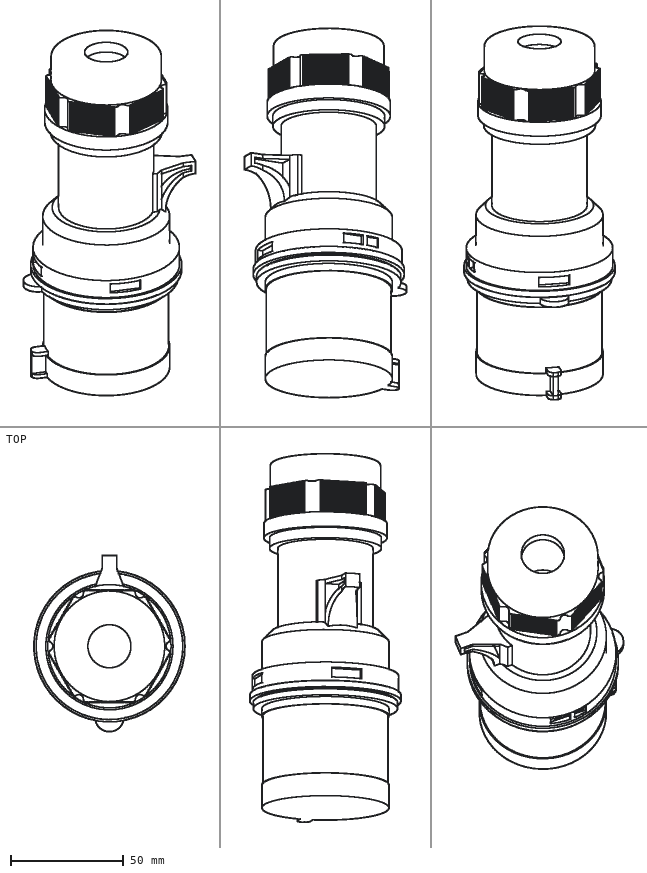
import cadquery as cq
import math

band_top = 10.4
shoulder_bottom = 41.8
disc_bottom = 45.1
disc_top = 48.0
housing_bottom = 48.5
ring_bottom = 51.4
ring_top = 59.9
body_top = 75.5
cone_top = 80.0
flange_bottom = 118.0
nut_bottom = 122.7
hex_bottom = 129.3
hex_top = 143.8
seal_top = 152.8
cap_edge = 156.4
total_height = 157.6

insert_radius = 55.8 / 2
band_radius = 56.8 / 2
disc_radius = 64.5 / 2
disc_neck_radius = 62.9 / 2
tab_reach = 38.2
tab_radius = 6.5
tab_top = 47.8

key_width = 6.0
key_reach = 34.8
key_height = 13.0
key_flange = 1.9
key_web_width = 2.2
key_web_setback = 0.2

rim_radius = 67.5 / 2
ring_radius = 65.5 / 2
body_radius = 56.8 / 2
cone_top_radius = 24.1
root_fillet = 1.4
neck_radius = 42.5 / 2
thread_end_radius = 50.0 / 2

window_height = 4.4
window_depth = 3.2
side_window_depth = 1.9
window_width = 14.0
window_z = 55.3
side_window_z = 56.0
wide_pane = 9.1
narrow_pane = 6.0
wide_pane_y = 4.0
narrow_pane_y = -5.7

latch_top = 99.0
latch_reach = 40.5
latch_base_half_width = 10.2
latch_base_y = 20.8
latch_root_half_width = 7.5
latch_root_y = 23.5
latch_tip_half_width = 3.3
latch_taper_end_y = 34.7
latch_arc_radius = 14.8
latch_arc_z = 78.0
latch_frame = 1.9
latch_rib = 1.5
latch_web_width = 2.2

nut_radius = 55.0 / 2
cap_radius = 49.3 / 2
cap_fillet = 1.1
cap_rim_radius = 11.8
cable_bore_radius = 19.2 / 2
grip_radius = 27.1
grip_flat = 25.2
grip_half_width = 10.2
grip_teeth = 30
tooth_depth = 0.5
grip_sides = 6
flute_radius = 2.0
flute_place = 27.3
flute_edge_fillet = 1.4

seal_radius = 15.8


def disc(radius, bottom, top):
    """Cylinder on the plug axis."""
    return cq.Workplane("XY").workplane(offset=bottom).circle(radius).extrude(top - bottom)


def block(x_size, y_size, z_size, center):
    return cq.Workplane("XY").box(x_size, y_size, z_size).translate(center)


def make_tab():
    """Round finger tab on the -Y side of the tab disc."""
    center_y = -(tab_reach - tab_radius)
    return disc(tab_radius, disc_bottom, tab_top).translate((0, center_y, 0))


def key_profile(width, reach, rounded):
    """Plan of the key from the plug axis outwards, with a round or a square end."""
    half = width / 2
    if not rounded:
        return cq.Workplane("XY").center(0, -reach / 2).rect(width, reach)
    straight_end = -(reach - half)
    return (
        cq.Workplane("XY")
        .moveTo(-half, 0)
        .lineTo(-half, straight_end)
        .threePointArc((0, -reach), (half, straight_end))
        .lineTo(half, 0)
        .close()
    )


def make_key():
    lower = key_profile(key_width, key_reach, True).extrude(key_flange)
    upper = lower.translate((0, 0, key_height - key_flange))
    web = key_profile(key_web_width, key_reach - key_web_setback, False).extrude(key_height)
    return lower.union(upper).union(web)


def make_insert():
    return (
        disc(insert_radius, 0, housing_bottom)
        .union(disc(band_radius, 0, band_top))
        .union(disc(band_radius, shoulder_bottom, disc_bottom))
        .union(disc(disc_radius, disc_bottom, disc_top))
        .union(disc(disc_neck_radius, disc_top, housing_bottom))
        .union(make_tab())
        .union(make_key())
    )


def make_shell():
    """Turned shape of the housing, solid on its axis."""
    root_radius = body_radius + root_fillet
    sagitta = root_fillet * (1 - math.sqrt(0.5))
    return (
        cq.Workplane("XZ")
        .moveTo(0, housing_bottom)
        .lineTo(rim_radius, housing_bottom)
        .lineTo(rim_radius, ring_bottom)
        .lineTo(ring_radius, ring_bottom)
        .lineTo(ring_radius, ring_top)
        .lineTo(root_radius, ring_top)
        .threePointArc(
            (body_radius + sagitta, ring_top + sagitta),
            (body_radius, ring_top + root_fillet),
        )
        .lineTo(body_radius, body_top)
        .lineTo(cone_top_radius, cone_top)
        .lineTo(neck_radius, cone_top)
        .lineTo(neck_radius, flange_bottom)
        .lineTo(thread_end_radius, flange_bottom)
        .lineTo(thread_end_radius, nut_bottom)
        .lineTo(0, nut_bottom)
        .close()
        .revolve(360, (0, 0, 0), (0, 1, 0))
    )


def make_windows():
    """Flat-bottomed recesses: one each on +X, -Y and +Y, and a pair on -X."""
    depth = 2 * window_depth
    side_depth = 2 * side_window_depth
    windows = block(side_depth, window_width, window_height, (ring_radius, 0, side_window_z))
    for side in (-1, 1):
        place = (0, side * ring_radius, window_z)
        windows = windows.union(block(window_width, depth, window_height, place))
    for width, y in ((wide_pane, wide_pane_y), (narrow_pane, narrow_pane_y)):
        place = (-ring_radius, y, side_window_z)
        windows = windows.union(block(side_depth, width, window_height, place))
    return windows


def latch_hollow(radius, center_y):
    """Round bar along X that hollows out the underside of the latch."""
    bar = cq.Workplane("YZ").center(center_y, latch_arc_z).circle(radius)
    return bar.extrude(latch_base_half_width, both=True)


def make_latch_pocket(side):
    """Recess in one side of the latch, leaving a frame and the web in the middle."""
    tip_y = latch_reach - latch_frame
    y_size = tip_y - latch_root_y
    z_size = latch_top - latch_frame - body_top
    inner_x = latch_web_width / 2
    x_size = latch_base_half_width - inner_x
    center = (side * (inner_x + x_size / 2), latch_root_y + y_size / 2, body_top + z_size / 2)
    return block(x_size, y_size, z_size, center).cut(latch_hollow(latch_arc_radius + latch_rib, tip_y))


def make_latch():
    """Lever that stands out from the neck on +Y and tapers to its tip."""
    right_side = [
        (latch_base_half_width, 0),
        (latch_base_half_width, latch_base_y),
        (latch_root_half_width, latch_root_y),
        (latch_tip_half_width, latch_taper_end_y),
        (latch_tip_half_width, latch_reach),
    ]
    left_side = [(-x, y) for x, y in reversed(right_side)]
    plan = cq.Workplane("XY").workplane(offset=body_top).polyline(right_side + left_side).close()
    latch = plan.extrude(latch_top - body_top).cut(latch_hollow(latch_arc_radius, latch_reach))
    for side in (-1, 1):
        latch = latch.cut(make_latch_pocket(side))
    return latch


def make_housing():
    return make_shell().cut(make_windows()).union(make_latch())


def turned(shape, side):
    """Shape turned about the plug axis to one side of the grip."""
    return shape.rotate((0, 0, 0), (0, 0, 1), 360 / grip_sides * side)


def make_knurl_cutter():
    """Material outside one flat, with V grooves between the teeth of the flat."""
    pitch = 2 * grip_half_width / grip_teeth
    groove_y = -(grip_flat - tooth_depth)
    outline = [(grip_half_width, -nut_radius), (-grip_half_width, -nut_radius)]
    for tooth in range(grip_teeth):
        start = -grip_half_width + tooth * pitch
        outline.append((start, groove_y))
        outline.append((start + pitch / 2, -grip_flat))
    outline.append((grip_half_width, groove_y))
    plan = cq.Workplane("XY").workplane(offset=hex_bottom).polyline(outline).close()
    return plan.extrude(hex_top - hex_bottom)


def make_grip():
    """Six knurled flats on a round bar, with a round-edged flute between each two flats."""
    grip = disc(grip_radius, hex_bottom, hex_top)
    flute = disc(flute_radius, hex_bottom, hex_top).translate((flute_place, 0, 0))
    for side in range(grip_sides):
        grip = grip.cut(turned(flute, side))
    grip = grip.edges("|Z").fillet(flute_edge_fillet)
    knurl_cutter = make_knurl_cutter()
    for side in range(grip_sides):
        grip = grip.cut(turned(knurl_cutter, side))
    return grip


def make_cap():
    """Round cap with a slightly conical end and a rounded edge."""
    edge_middle = cap_fillet * math.sqrt(0.5)
    edge_center_radius = cap_radius - cap_fillet
    edge_center_z = cap_edge - cap_fillet
    return (
        cq.Workplane("XZ")
        .moveTo(0, hex_bottom)
        .lineTo(cap_radius, hex_bottom)
        .lineTo(cap_radius, edge_center_z)
        .threePointArc(
            (edge_center_radius + edge_middle, edge_center_z + edge_middle),
            (edge_center_radius, cap_edge),
        )
        .lineTo(cap_rim_radius, total_height)
        .lineTo(0, total_height)
        .close()
        .revolve(360, (0, 0, 0), (0, 1, 0))
    )


def make_nut():
    return (
        disc(nut_radius, nut_bottom, hex_bottom)
        .union(make_grip())
        .union(make_cap())
        .cut(disc(cable_bore_radius, nut_bottom, total_height))
        .cut(disc(seal_radius, nut_bottom, seal_top))
    )


def make_seal():
    """Sleeve filling the recess of the nut, with the cable bore through it."""
    return disc(seal_radius, nut_bottom, seal_top).cut(disc(cable_bore_radius, nut_bottom, seal_top))


insert = make_insert().solids()
housing = make_housing().solids()
nut = make_nut().solids()
seal = make_seal().solids()

result = cq.Compound.makeCompound([insert.val(), housing.val(), nut.val(), seal.val()])